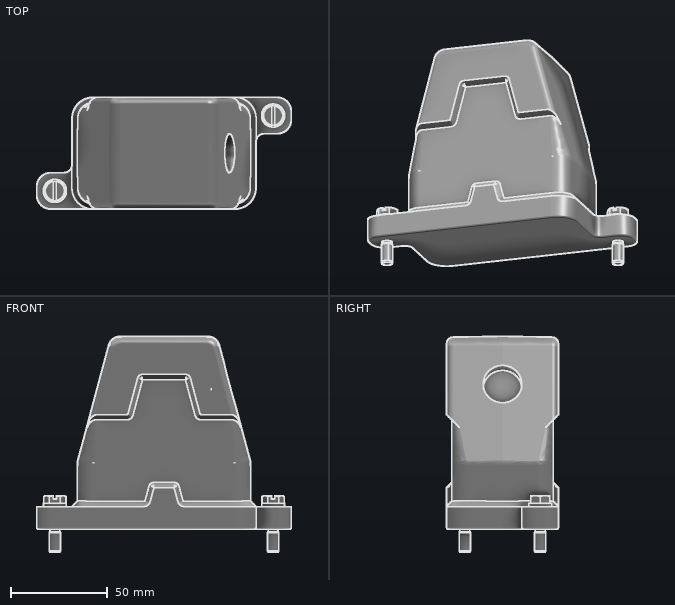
import cadquery as cq
import math

PITCH_ANGLE = 1.0
PITCH = math.tan(math.radians(PITCH_ANGLE))
SLOPE = math.tan(math.radians(15.0))

STEP = 2.7
HOOD_HALF_Y = 29.0
WAIST_HALF_X = 45.0
WAIST_HALF_Y = HOOD_HALF_Y - STEP
WAIST_CORNER_R = 8.4
HOOD_EDGE_R = 3.5
ROOF_EDGE_R = 6.5
FOOT_CORNER_R = 3.2
OVERLAP = 0.6
KINK_Z = 34.5
KINK_R = 9.5
HOOD_FOOT_Z = KINK_Z + 2.0
TOP_Z = 100.0

RECESS_TOP_Z = 56.7
WINDOW_TOP_Z = 77.5
WINDOW_HALF_TOP = 11.1

FLANGE_Z = 11.8
FLANGE_HALF_X = WAIST_HALF_X + STEP
FLANGE_CORNER_R = WAIST_CORNER_R + STEP
FLANGE_BOTTOM_R = 1.0
EAR_END_X = 66.0
EAR_WIDTH = 19.0
EAR_CORNER_R = 7.5
EAR_NECK_R = 4.0
PAD_TOP_Z = 21.6
PAD_HALF_TOP = 5.2
PAD_REACH_X = 30.0

CABLE_HOLE_D = 20.0
CABLE_HOLE_Z = 75.2
CABLE_HOLE_DEPTH = 10.0

SCREW_X = 56.5
SCREW_Y = HOOD_HALF_Y - EAR_WIDTH / 2
WASHER_D = 12.0
WASHER_H = 1.6
HEX_FLATS = 10.0
HEAD_TOP_Z = 17.4
SLOT_WIDTH = 1.6
SLOT_DEPTH = 1.6
THREAD_D = 6.0
CORE_D = 5.3
RELIEF_LENGTH = 1.7
RELIEF_BEVEL = 0.5
TIP_Z = -11.9
TIP_LENGTH = 0.9


def wall_x(z):
    """Half length of the leaning end walls at height z, on the Y = 0 plane."""
    return WAIST_HALF_X - SLOPE * (z - KINK_Z)


def section(z, half_x, half_y, corner_r=0.0):
    """Horizontal outline at height z with pitched ends and optional corner radius."""
    edge_x = half_x - PITCH * half_y
    points = [
        (half_x, 0), (edge_x, half_y), (-edge_x, half_y),
        (-half_x, 0), (-edge_x, -half_y), (edge_x, -half_y),
    ]
    wire = cq.Wire.makePolygon([cq.Vector(x, y, z) for x, y in points], close=True)
    if corner_r:
        corners = [v for v in wire.Vertices() if abs(v.Y) > half_y / 2]
        wire = wire.fillet2D(corner_r, corners)
    return wire


def end_profile_block(half_y):
    """Block with the full end profile, narrowing by the pitch angle on both sides of Y = 0."""
    half_top = wall_x(TOP_Z)
    profile = (
        cq.Sketch()
        .polygon([
            (-WAIST_HALF_X, 0), (-WAIST_HALF_X, KINK_Z), (-half_top, TOP_Z),
            (half_top, TOP_Z), (WAIST_HALF_X, KINK_Z), (WAIST_HALF_X, 0), (-WAIST_HALF_X, 0),
        ])
        .vertices(">Y")
        .fillet(ROOF_EDGE_R)
    )
    half = cq.Workplane("XZ").placeSketch(profile).extrude(half_y, taper=PITCH_ANGLE)
    return half.union(half.mirror("XZ"))


def make_waist():
    """Lower body: straight walls, then leaning ends whose corner radius shrinks upward."""
    kink = section(KINK_Z, WAIST_HALF_X, WAIST_HALF_Y, WAIST_CORNER_R)
    top = section(RECESS_TOP_Z, wall_x(RECESS_TOP_Z), WAIST_HALF_Y, HOOD_EDGE_R)
    base = cq.Workplane(obj=cq.Solid.extrudeLinear(kink, [], cq.Vector(0, 0, -KINK_Z)))
    rounded = base.union(cq.Workplane(obj=cq.Solid.makeLoft([kink, top], True)))
    kink_edges = rounded.edges(cq.selectors.BoxSelector(
        (-FLANGE_HALF_X, -HOOD_HALF_Y, KINK_Z - 1), (FLANGE_HALF_X, HOOD_HALF_Y, KINK_Z + 1)
    ))
    rounded = kink_edges.fillet(KINK_R)
    return end_profile_block(WAIST_HALF_Y).intersect(rounded)


def both_sides(side):
    """A feature of the -Y side together with its copy turned half way round Z."""
    return side.union(side.rotate((0, 0, 0), (0, 0, 1), 180))


def stepped_contour(plane_y, low_z, reach_x, ledge_z, top_z, half_top):
    """Long ledge with a trapezoid rising from its middle, drawn on the plane Y = plane_y."""
    half_foot = half_top + SLOPE * (top_z - ledge_z)
    contour = (
        cq.Sketch()
        .polygon([
            (-reach_x, low_z), (-reach_x, ledge_z), (-half_foot, ledge_z), (-half_top, top_z),
            (half_top, top_z), (half_foot, ledge_z), (reach_x, ledge_z), (reach_x, low_z),
            (-reach_x, low_z),
        ])
        .vertices(cq.selectors.BoxSelector(
            (-half_foot - 1, ledge_z - 1, -1), (half_foot + 1, ledge_z + 1, 1)
        ))
        .fillet(FOOT_CORNER_R)
    )
    return cq.Workplane("XZ", origin=(0, plane_y, 0)).placeSketch(contour)


def make_recess():
    """Cutter for the recessed -Y wall: 45-degree rim, window, and undercut around the corners."""
    window = stepped_contour(
        -WAIST_HALF_Y, 0, EAR_END_X, RECESS_TOP_Z, WINDOW_TOP_Z, WINDOW_HALF_TOP
    ).extrude(STEP + OVERLAP, taper=-45)
    inner_y = WAIST_HALF_Y - WAIST_CORNER_R
    undercut = (
        cq.Workplane("YZ")
        .polyline([
            (-inner_y, 0), (-inner_y, RECESS_TOP_Z - WAIST_CORNER_R),
            (-WAIST_HALF_Y, RECESS_TOP_Z), (-WAIST_HALF_Y, 0),
        ])
        .close()
        .extrude(EAR_END_X, both=True)
    )
    return window.union(undercut)


def make_hood():
    """Upper body: leaning ends, ridged roof, rounded edges and recessed long sides."""
    below_hood = cq.Workplane("XY").rect(2 * FLANGE_HALF_X, 2 * FLANGE_HALF_X).extrude(HOOD_FOOT_Z)
    hood = end_profile_block(HOOD_HALF_Y).cut(below_hood)
    side_edges = hood.faces("<Y or >Y").edges(cq.selectors.BoxSelector(
        (-FLANGE_HALF_X, -FLANGE_HALF_X, HOOD_FOOT_Z + 1), (FLANGE_HALF_X, FLANGE_HALF_X, TOP_Z + 1)
    ))
    hood = side_edges.fillet(HOOD_EDGE_R)
    recess = make_recess()
    return hood.cut(recess).cut(recess.mirror("XZ"))


def cut_cable_hole(body):
    """Blind cable entry, square to the leaning +X wall."""
    hole_plane = cq.Plane(
        origin=(wall_x(CABLE_HOLE_Z), 0, CABLE_HOLE_Z), xDir=(0, 1, 0), normal=(1, 0, SLOPE)
    )
    hole = (
        cq.Workplane(hole_plane)
        .workplane(offset=-CABLE_HOLE_DEPTH)
        .circle(CABLE_HOLE_D / 2)
        .extrude(CABLE_HOLE_DEPTH + OVERLAP)
    )
    return body.cut(hole)


def make_ear():
    """Screw ear at the -X, -Y corner, reaching into the flange."""
    inner_x = -FLANGE_HALF_X / 2
    inner_y = EAR_WIDTH - HOOD_HALF_Y
    neck_y = inner_y + EAR_NECK_R
    neck_x = -FLANGE_HALF_X - EAR_NECK_R
    arc_inset = EAR_NECK_R * math.sqrt(0.5)
    ear = (
        cq.Workplane("XY")
        .moveTo(-EAR_END_X, -HOOD_HALF_Y)
        .lineTo(-EAR_END_X, inner_y)
        .lineTo(neck_x, inner_y)
        .threePointArc((neck_x + arc_inset, neck_y - arc_inset), (-FLANGE_HALF_X, neck_y))
        .lineTo(inner_x, neck_y)
        .lineTo(inner_x, -HOOD_HALF_Y)
        .close()
        .extrude(FLANGE_Z)
    )
    return ear.edges("|Z and <X").fillet(EAR_CORNER_R)


def make_flange():
    """Flange with two screw ears, a sloped shoulder and a raised pad on each long side."""
    outline = (
        cq.Sketch()
        .rect(2 * FLANGE_HALF_X, 2 * HOOD_HALF_Y)
        .vertices()
        .fillet(FLANGE_CORNER_R)
    )
    plate = cq.Workplane("XY").placeSketch(outline).extrude(FLANGE_Z)
    plate = plate.union(both_sides(make_ear()))
    plate = plate.faces("<Z").edges().fillet(FLANGE_BOTTOM_R)
    shoulder = (
        cq.Workplane("XY", origin=(0, 0, FLANGE_Z))
        .placeSketch(outline)
        .extrude(STEP + OVERLAP, taper=45)
    )
    pad = stepped_contour(
        -HOOD_HALF_Y, FLANGE_Z / 2, PAD_REACH_X, FLANGE_Z, PAD_TOP_Z, PAD_HALF_TOP
    ).extrude(-STEP - OVERLAP, taper=-45)
    return plate.union(shoulder).union(both_sides(pad))


def make_screw():
    """Slotted hexagon screw at the -X, -Y ear: washer, head and the thread below the flange."""
    corner_d = HEX_FLATS / math.cos(math.radians(30))
    washer_top = FLANGE_Z + WASHER_H
    head = (
        cq.Workplane("XY", origin=(0, 0, washer_top))
        .polygon(6, corner_d)
        .extrude(HEAD_TOP_Z - washer_top)
    )
    corner_rise = (corner_d - HEX_FLATS) / 2 * math.tan(math.radians(30))
    head_limit = (
        cq.Workplane("XZ")
        .polyline([
            (0, washer_top), (corner_d / 2, washer_top), (corner_d / 2, HEAD_TOP_Z - corner_rise),
            (HEX_FLATS / 2, HEAD_TOP_Z), (0, HEAD_TOP_Z),
        ])
        .close()
        .revolve(360, (0, 0, 0), (0, 1, 0))
    )
    slot = cq.Workplane("XY", origin=(0, 0, HEAD_TOP_Z)).box(
        SLOT_WIDTH, corner_d, 2 * SLOT_DEPTH
    )
    shank = (
        cq.Workplane("XZ")
        .polyline([
            (0, TIP_Z), (CORE_D / 2, TIP_Z), (THREAD_D / 2, TIP_Z + TIP_LENGTH),
            (THREAD_D / 2, -RELIEF_LENGTH),
            (CORE_D / 2, -RELIEF_LENGTH + RELIEF_BEVEL),
            (CORE_D / 2, FLANGE_Z), (WASHER_D / 2, FLANGE_Z),
            (WASHER_D / 2, washer_top), (0, washer_top),
        ])
        .close()
        .revolve(360, (0, 0, 0), (0, 1, 0))
    )
    screw = head.intersect(head_limit).cut(slot).union(shank)
    return screw.translate((-SCREW_X, -SCREW_Y, 0))


body = make_flange().union(make_waist()).union(make_hood())
result = cut_cable_hole(body).union(both_sides(make_screw()))